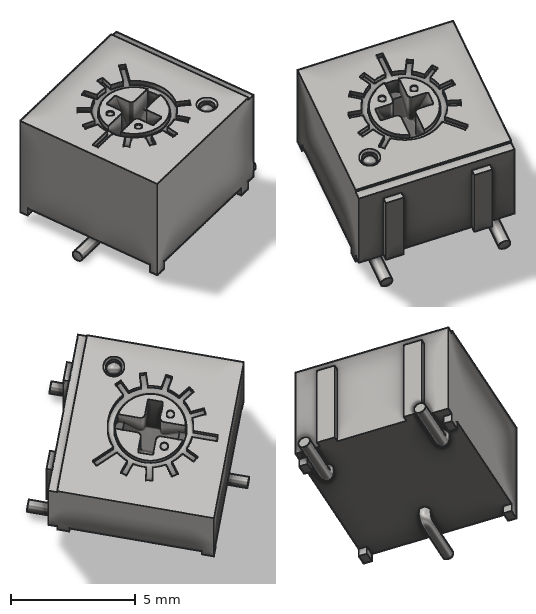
import cadquery as cq
import math


cos_45 = math.sqrt(0.5)
tolerance = 1e-4

case_width = 6.71
case_front_y = -3.2
case_main_depth = 6.4
case_height = 4.5
lip_depth = 0.365
lip_drop = 0.125
case_main_back_y = case_front_y + case_main_depth
case_back_y = case_main_back_y + lip_depth

foot_width = 0.365
foot_depth = 0.5
foot_height = 0.385

rib_inner_x = 1.517
rib_outer_x = 2.295
rib_thickness = 0.26
rib_drop = 0.63
rib_height = case_height - rib_drop

wire_bottom_z = -0.73
outer_pin_x = 2.54
outer_pin_radius = 0.254
outer_pin_riser_y = 2.25
outer_pin_tip_y = 4.54
outer_pin_bend = 0.26
middle_pin_radius = 0.235
middle_pin_riser_y = -1.678
middle_pin_tip_y = -3.99
middle_pin_bend = 0.34
pin_embed = 0.5
pin_axis_z = wire_bottom_z + outer_pin_radius

recess_radius = 1.725
recess_depth = 0.24
recess_floor_z = case_height - recess_depth
mark_width = 0.265
mark_start_radius = 1.6
short_mark_radius = 2.28
long_mark_radius = 2.73
mark_pitch_angle = 27
first_mark_angle = 135
mark_count = 11
long_marks = (0, 5)

rotor_radius = 1.415
well_radius = 1.46
rotor_drop = 0.07
rotor_top_z = case_height - rotor_drop

arm_half_width = 0.31
socket_corner_radius = 0.18
socket_bottom_fillet = 0.06
blind_arm_foot = arm_half_width + socket_corner_radius
blind_arm_reach = 1.145
blind_arm_slope = 67
socket_depth = (blind_arm_reach - blind_arm_foot) * math.tan(math.radians(blind_arm_slope))
socket_floor_z = rotor_top_z - socket_depth
open_arm_slope_reach = 1.13
open_arm_foot = 0.525
open_arm_slope = 45
open_arm_rise = (open_arm_slope_reach - open_arm_foot) * math.tan(math.radians(open_arm_slope))
open_arm_floor_z = socket_floor_z + open_arm_rise
rotor_embed = 0.5
rotor_bottom_z = socket_floor_z - rotor_embed

dot_radius = 0.155
dot_offset = 0.69
dot_depth = 0.06

dimple_x = 2.236
dimple_y = 1.9
dimple_radius = 0.325
dimple_chamfer = 0.1
dome_radius = 0.32
dimple_depth = dimple_chamfer + dome_radius


def block(x_range, y_range, z_range):
    """Axis-aligned box given by its limits along each axis."""
    size = [high - low for low, high in (x_range, y_range, z_range)]
    corner = (x_range[0], y_range[0], z_range[0])
    return cq.Workplane("XY").box(*size, centered=False).translate(corner)


def cylinder(radius, bottom_z, top_z):
    """Upright cylinder on the rotor axis."""
    return cq.Workplane("XY").workplane(offset=bottom_z).circle(radius).extrude(top_z - bottom_z)


def make_case():
    half_width = case_width / 2
    full_width = (-half_width, half_width)
    case = block(full_width, (case_front_y, case_main_back_y), (0, case_height))
    case = case.union(block(full_width, (case_main_back_y, case_back_y), (0, case_height - lip_drop)))
    foot_spacing_x = case_width - foot_width
    foot_spacing_y = case_main_depth - foot_depth
    feet = (
        cq.Workplane("XY")
        .center(0, (case_front_y + case_main_back_y) / 2)
        .rarray(foot_spacing_x, foot_spacing_y, 2, 2)
        .rect(foot_width, foot_depth)
        .extrude(-foot_height)
    )
    rib = block((rib_inner_x, rib_outer_x), (case_back_y, case_back_y + rib_thickness), (0, rib_height))
    return case.union(feet).union(rib).union(rib.mirror("YZ"))


def make_pin(x, radius, riser_y, tip_y, bend):
    """Wire that drops out of the case and bends level toward tip_y."""
    side = math.copysign(1, tip_y - riser_y)
    bend_y = riser_y + side * bend
    bend_z = pin_axis_z + bend
    middle = (bend_y - side * bend * cos_45, bend_z - bend * cos_45)
    path = (
        cq.Workplane("YZ", origin=(x, 0, 0))
        .moveTo(riser_y, pin_embed)
        .lineTo(riser_y, bend_z)
        .threePointArc(middle, (bend_y, pin_axis_z))
        .lineTo(tip_y, pin_axis_z)
    )
    return cq.Workplane("XY", origin=(x, riser_y, pin_embed)).circle(radius).sweep(path)


def make_dial_recess():
    recess = cylinder(recess_radius, recess_floor_z, case_height)
    half_mark = mark_width / 2
    for index in range(mark_count):
        reach = long_mark_radius if index in long_marks else short_mark_radius
        mark = block((mark_start_radius, reach), (-half_mark, half_mark), (recess_floor_z, case_height))
        angle = first_mark_angle + index * mark_pitch_angle
        recess = recess.union(mark.rotate((0, 0, 0), (0, 0, 1), angle))
    return recess


def make_socket():
    """Cross-shaped cutter: the X arms ramp up to the rotor face, the Y arms run out to its rim."""
    top_z = rotor_top_z
    arm_width = 2 * arm_half_width
    blind_arms = (
        cq.Workplane("XZ")
        .polyline([
            (-blind_arm_reach, top_z),
            (-blind_arm_foot, socket_floor_z),
            (blind_arm_foot, socket_floor_z),
            (blind_arm_reach, top_z),
        ])
        .close()
        .extrude(arm_half_width, both=True)
    )
    open_arm_end = well_radius
    open_arms = (
        cq.Workplane("YZ")
        .polyline([
            (-open_arm_end, top_z),
            (-open_arm_end, open_arm_floor_z),
            (-open_arm_slope_reach, open_arm_floor_z),
            (-open_arm_foot, socket_floor_z),
            (open_arm_foot, socket_floor_z),
            (open_arm_slope_reach, open_arm_floor_z),
            (open_arm_end, open_arm_floor_z),
            (open_arm_end, top_z),
        ])
        .close()
        .extrude(arm_half_width, both=True)
    )
    socket = blind_arms.union(open_arms)
    near_axis = cq.selectors.BoxSelector(
        (-arm_width, -arm_width, socket_floor_z), (arm_width, arm_width, top_z)
    )
    socket = socket.edges("|Z").edges(near_axis).fillet(socket_corner_radius)

    def is_floor_edge(edge):
        """True for the lower edges of the socket except the ramp crests and the open arm ends."""
        center = edge.Center()
        upright = edge.geomType() == "LINE" and abs(edge.tangentAt(0).z) > 1 - tolerance
        across_open_arm = abs(center.x) < tolerance and abs(center.y) > open_arm_slope_reach - tolerance
        return center.z < top_z - tolerance and not upright and not across_open_arm

    return socket.edges().filter(is_floor_edge).fillet(socket_bottom_fillet)


def make_rotor():
    rotor = cylinder(rotor_radius, rotor_bottom_z, rotor_top_z).cut(make_socket())
    dots = (
        cq.Workplane("XY", origin=(0, 0, rotor_top_z))
        .pushPoints([(-dot_offset, -dot_offset), (dot_offset, -dot_offset)])
        .circle(dot_radius)
        .extrude(-dot_depth)
    )
    return rotor.cut(dots)


def make_dimple():
    dome_base_z = -dimple_depth
    dome_middle = (dome_radius * cos_45, dome_base_z + dome_radius * cos_45)
    profile = (
        cq.Workplane("XZ")
        .moveTo(0, dome_base_z + dome_radius)
        .threePointArc(dome_middle, (dome_radius, dome_base_z))
        .lineTo(dimple_radius, dome_base_z)
        .lineTo(dimple_radius, -dimple_chamfer)
        .lineTo(dimple_radius + dimple_chamfer, 0)
        .lineTo(0, 0)
        .close()
    )
    dimple = profile.revolve(360, (0, 0, 0), (0, 1, 0))
    return dimple.translate((dimple_x, dimple_y, case_height))


def make_part():
    part = make_case()
    part = part.cut(make_dial_recess()).cut(make_dimple())
    part = part.cut(cylinder(well_radius, open_arm_floor_z, recess_floor_z))
    part = part.cut(cylinder(rotor_radius, rotor_bottom_z, open_arm_floor_z))
    part = part.union(make_rotor())
    for x in (-outer_pin_x, outer_pin_x):
        part = part.union(make_pin(x, outer_pin_radius, outer_pin_riser_y, outer_pin_tip_y,
                                   outer_pin_bend))
    return part.union(make_pin(0, middle_pin_radius, middle_pin_riser_y, middle_pin_tip_y,
                               middle_pin_bend))


result = make_part()